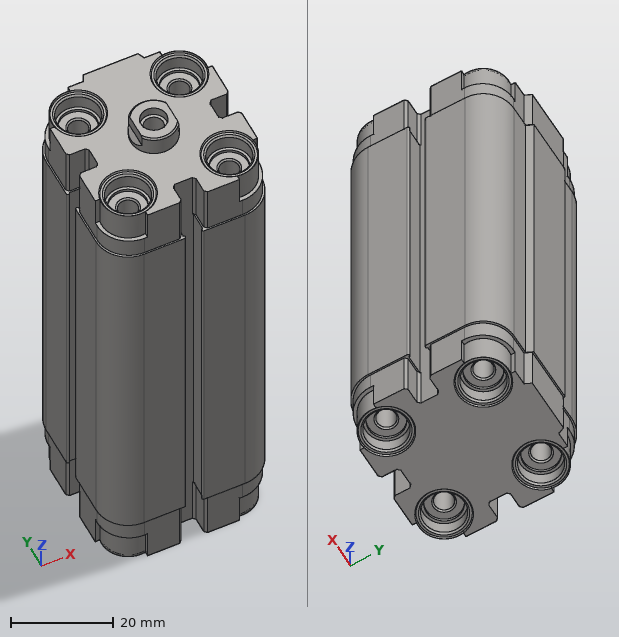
import cadquery as cq

TOTAL_HEIGHT = 112.5
HOUSING_HEIGHT = 108.0
CAP_HEIGHT = 11.5
TUBE_HEIGHT = HOUSING_HEIGHT - 2 * CAP_HEIGHT

TUBE_HALF_WIDTH = 18.0
CAP_INSET = 0.3
CORNER_RADIUS = 7.0
LEDGE_HEIGHT = 1.5
LEDGE_TOP_HALF_WIDTH = 6.0
LEDGE_BASE_HALF_WIDTH = 6.6

CAP_SLOT_HALF_WIDTH = 2.5
TUBE_SLOT_HALF_WIDTH = 2.1
SLOT_FLOOR = 13.2
SLOT_CHAMFER = 0.6
LIP_RADIUS = 0.3
SLOT_ANGLES = (0, 90, 180)

SCREW_OFFSET = 11.0
BOSS_DIAMETER = 11.5
RIM_DIAMETER = 11.0
RIM_DEPTH = 0.3
SHOULDER_DIAMETER = 10.0
NOTCH_OFFSET = 10.0
NOTCH_HEIGHT = 7.0
BORE_DIAMETER = 9.2
BORE_DEPTH = 3.9
RECESS_DIAMETER = 8.0
RECESS_DEPTH = 4.6
SCREW_ENTRY_DIAMETER = 4.8
SCREW_HOLE_DIAMETER = 4.2

ROD_DIAMETER = 10.0
ROD_EDGE_CHAMFER = 0.3
FLAT_WIDTH = 8.0
FLAT_HEIGHT = 2.7
ROD_BORE_DIAMETER = 5.5
ROD_BORE_DEPTH = 2.0
ROD_HOLE_DIAMETER = 4.2
ROD_HOLE_DEPTH = 9.0

ROD_BOTTOM = HOUSING_HEIGHT - CAP_HEIGHT


def ledged_block(half_width, bottom, height):
    """Square block with rounded corners and a low sloped-sided ledge on +Y."""
    block = (
        cq.Workplane("XY", origin=(0, 0, bottom))
        .rect(2 * half_width, 2 * half_width)
        .extrude(height)
        .edges("|Z")
        .fillet(CORNER_RADIUS)
    )
    ledge = (
        cq.Workplane("XY", origin=(0, 0, bottom))
        .polyline([
            (-LEDGE_BASE_HALF_WIDTH, 0),
            (LEDGE_BASE_HALF_WIDTH, 0),
            (LEDGE_BASE_HALF_WIDTH, half_width),
            (LEDGE_TOP_HALF_WIDTH, half_width + LEDGE_HEIGHT),
            (-LEDGE_TOP_HALF_WIDTH, half_width + LEDGE_HEIGHT),
            (-LEDGE_BASE_HALF_WIDTH, half_width),
        ])
        .close()
        .extrude(height)
    )
    return block.union(ledge)


def cut_slots(block, cutter):
    """Cut the slot into the -Y, +X and -X sides."""
    for angle in SLOT_ANGLES:
        block = block.cut(cutter.rotate((0, 0, 0), (0, 0, 1), angle - 90))
    return block


def make_tube():
    """Middle of the housing, each slot narrowed at its mouth by two half-round lips."""
    face = -TUBE_HALF_WIDTH
    side = TUBE_SLOT_HALF_WIDTH
    lip_centre = face + LIP_RADIUS
    lip_end = face + 2 * LIP_RADIUS
    cutter = (
        cq.Workplane("XY", origin=(0, 0, CAP_HEIGHT))
        .moveTo(-side, -SLOT_FLOOR)
        .lineTo(side, -SLOT_FLOOR)
        .lineTo(side, lip_end)
        .threePointArc((side - LIP_RADIUS, lip_centre), (side, face))
        .lineTo(-side, face)
        .threePointArc((LIP_RADIUS - side, lip_centre), (-side, lip_end))
        .close()
        .extrude(TUBE_HEIGHT)
    )
    return cut_slots(ledged_block(TUBE_HALF_WIDTH, CAP_HEIGHT, TUBE_HEIGHT), cutter)


def cap_slot_cutter(face, bottom):
    """Cutter for a cap slot open towards -Y, chamfered at its floor corners and its mouth."""
    side = CAP_SLOT_HALF_WIDTH
    right_side = [
        (side - SLOT_CHAMFER, -SLOT_FLOOR),
        (side, -SLOT_FLOOR - SLOT_CHAMFER),
        (side, face + SLOT_CHAMFER),
        (side + SLOT_CHAMFER, face),
    ]
    left_side = [(-x, y) for x, y in reversed(right_side)]
    return cq.Workplane("XY", origin=(0, 0, bottom)).polyline(right_side + left_side).close().extrude(CAP_HEIGHT)


def cut_corner_notches(cap, bottom):
    """Cut the four corners away around the round screw bosses."""
    size = TUBE_HALF_WIDTH
    centre = NOTCH_OFFSET + size / 2
    for x_side in (-1, 1):
        for y_side in (-1, 1):
            notch = (
                cq.Workplane("XY", origin=(0, 0, bottom))
                .center(x_side * centre, y_side * centre)
                .rect(size, size)
                .extrude(NOTCH_HEIGHT)
            )
            boss = (
                cq.Workplane("XY", origin=(0, 0, bottom))
                .center(x_side * SCREW_OFFSET, y_side * SCREW_OFFSET)
                .circle(BOSS_DIAMETER / 2)
                .extrude(NOTCH_HEIGHT)
            )
            cap = cap.cut(notch.cut(boss))
    return cap


def make_screw_cutter():
    """Revolved cutter for a stepped screw hole, from the top face down to the middle of the housing."""
    rim = HOUSING_HEIGHT - RIM_DEPTH
    bore_chamfer = (SHOULDER_DIAMETER - BORE_DIAMETER) / 2
    bore_floor = HOUSING_HEIGHT - BORE_DEPTH
    recess_floor = HOUSING_HEIGHT - RECESS_DEPTH
    entry_chamfer = (SCREW_ENTRY_DIAMETER - SCREW_HOLE_DIAMETER) / 2
    return (
        cq.Workplane("XZ")
        .polyline([
            (0, HOUSING_HEIGHT),
            (BOSS_DIAMETER / 2, HOUSING_HEIGHT),
            (RIM_DIAMETER / 2, rim),
            (SHOULDER_DIAMETER / 2, rim),
            (BORE_DIAMETER / 2, rim - bore_chamfer),
            (BORE_DIAMETER / 2, bore_floor),
            (RECESS_DIAMETER / 2, bore_floor),
            (RECESS_DIAMETER / 2, recess_floor),
            (SCREW_ENTRY_DIAMETER / 2, recess_floor),
            (SCREW_HOLE_DIAMETER / 2, recess_floor - entry_chamfer),
            (SCREW_HOLE_DIAMETER / 2, HOUSING_HEIGHT / 2),
            (0, HOUSING_HEIGHT / 2),
        ])
        .close()
        .revolve(360, (0, 0), (0, 1))
    )


def make_cap(bottom, notch_bottom):
    """End cap, slightly smaller than the tube, with open slots and notched corners."""
    half_width = TUBE_HALF_WIDTH - CAP_INSET
    cap = ledged_block(half_width, bottom, CAP_HEIGHT)
    cap = cut_slots(cap, cap_slot_cutter(-half_width, bottom))
    return cut_corner_notches(cap, notch_bottom)


def make_housing():
    """Tube with a cap at each end, the screw holes and the socket for the rod."""
    bottom_cap = make_cap(0, 0)
    top_cap = make_cap(HOUSING_HEIGHT - CAP_HEIGHT, HOUSING_HEIGHT - NOTCH_HEIGHT)
    housing = make_tube().union(bottom_cap).union(top_cap)

    upper_cutter = make_screw_cutter()
    lower_cutter = upper_cutter.mirror("XY", (0, 0, HOUSING_HEIGHT / 2))
    for x in (-SCREW_OFFSET, SCREW_OFFSET):
        for y in (-SCREW_OFFSET, SCREW_OFFSET):
            housing = housing.cut(upper_cutter.translate((x, y, 0)))
            housing = housing.cut(lower_cutter.translate((x, y, 0)))

    socket = cq.Workplane("XY", origin=(0, 0, ROD_BOTTOM)).circle(ROD_DIAMETER / 2).extrude(CAP_HEIGHT)
    return housing.cut(socket)


def make_rod():
    """Piston rod with two wrench flats that run out at 45 degrees, and a stepped end hole."""
    radius = ROD_DIAMETER / 2
    rod = (
        cq.Workplane("XY", origin=(0, 0, ROD_BOTTOM))
        .circle(radius)
        .extrude(TOTAL_HEIGHT - ROD_BOTTOM)
        .faces(">Z")
        .chamfer(ROD_EDGE_CHAMFER)
    )
    flat = FLAT_WIDTH / 2
    runout = radius - flat
    flat_bottom = TOTAL_HEIGHT - FLAT_HEIGHT
    flat_cutter = (
        cq.Workplane("XZ")
        .polyline([
            (flat, TOTAL_HEIGHT),
            (flat, flat_bottom),
            (radius, flat_bottom - runout),
            (radius, TOTAL_HEIGHT),
        ])
        .close()
        .extrude(radius, both=True)
    )
    rod = rod.cut(flat_cutter).cut(flat_cutter.mirror("YZ"))
    return rod.faces(">Z").workplane(origin=(0, 0, TOTAL_HEIGHT)).cboreHole(
        ROD_HOLE_DIAMETER, ROD_BORE_DIAMETER, ROD_BORE_DEPTH, ROD_HOLE_DEPTH
    )


housing = make_housing()
rod = make_rod()
result = cq.Compound.makeCompound([housing.val(), rod.val()])